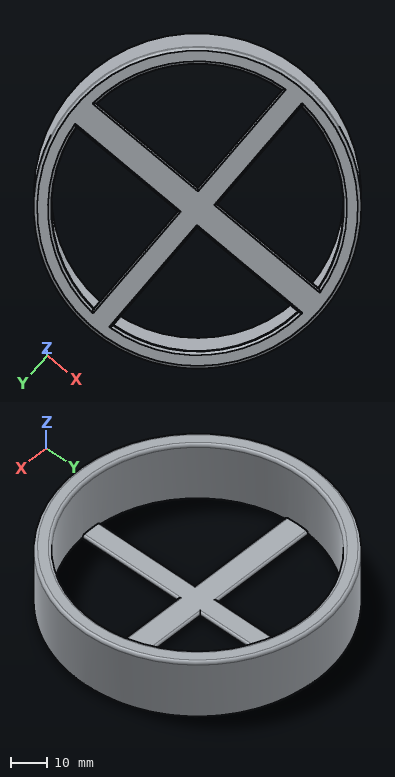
import cadquery as cq

outer_diameter = 90.5
inner_diameter = 80.5
ring_height = 22.0
rim_edge = 1.0
crease_fillet = 0.5

x_spoke_width = 8.5
y_spoke_width = 7.0
spoke_thickness = 2 * rim_edge
spoke_fillet = 0.7
spoke_chamfer = 0.5
spoke_length = (outer_diameter + inner_diameter) / 2


def make_ring():
    """Ring with rounded upper rims and chamfered lower rims with softened creases."""
    ring = cq.Workplane("XY").circle(outer_diameter / 2).circle(inner_diameter / 2).extrude(ring_height)
    ring = ring.faces(">Z").edges().fillet(rim_edge)
    ring = ring.faces("<Z").edges().chamfer(rim_edge)
    crease_zone = cq.selectors.BoxSelector(
        (-outer_diameter, -outer_diameter, rim_edge / 2),
        (outer_diameter, outer_diameter, 2 * rim_edge),
    )
    return ring.edges("%CIRCLE").edges(crease_zone).fillet(crease_fillet)


def make_cross():
    """Two crossing spokes with rounded upper edges and chamfered lower edges."""
    x_spoke = cq.Workplane("XY").rect(spoke_length, x_spoke_width).extrude(spoke_thickness)
    y_spoke = cq.Workplane("XY").rect(y_spoke_width, spoke_length).extrude(spoke_thickness)
    end = spoke_length / 2 - rim_edge
    long_edges = cq.selectors.BoxSelector((-end, -end, -0.9), (end, end, ring_height))
    cross = x_spoke.union(y_spoke)
    cross = cross.faces(">Z").edges(long_edges).fillet(spoke_fillet)
    return cross.faces("<Z").edges(long_edges).chamfer(spoke_chamfer)


result = make_ring().union(make_cross())